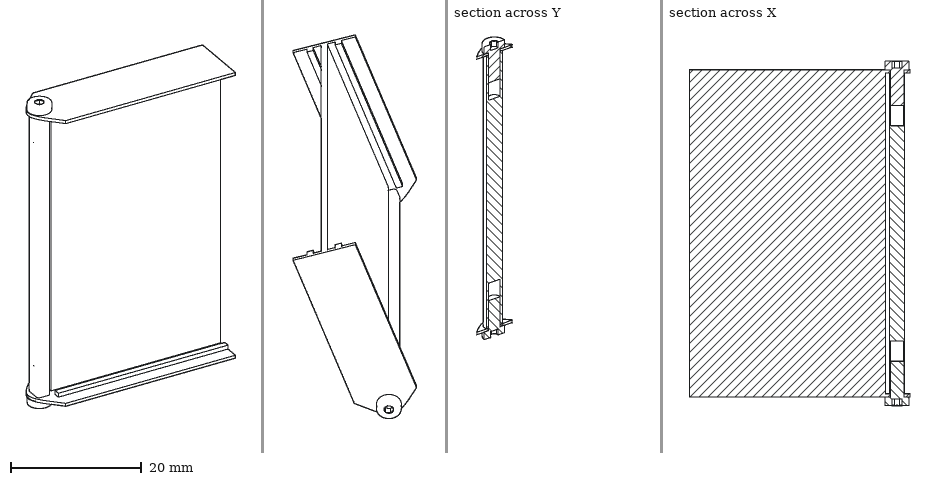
import cadquery as cq
import math

total_height = 52.7
frame_height = 50.0
plate_width = 10.0
plate_length = 33.75
plate_thickness = 0.55
straight_length = 30.0
tip_from_screw = 2.0

web_thickness = 1.0
rail_width = 1.0
rail_height = 0.7
rail_offset = 2.25

rod_width = 3.05
rod_depth = 2.3
rod_corner_radius = 0.55
rod_hole_depth = 8.0

head_diameter = 3.8
head_edge_radius = 0.15
shank_diameter = 2.0
shank_length = 5.5
socket_diameter = 1.5
socket_depth = 1.05
socket_lead_in = 0.1

head_height = (total_height - frame_height) / 2
inner_height = frame_height - 2 * plate_thickness
frame_top = frame_height / 2
inner_top = inner_height / 2
back_edge = plate_length - tip_from_screw
straight_end = back_edge - straight_length


def end_plate(bottom):
    """Plate with straight sides, tapering in one smooth curve to a blunt tip on the center line."""
    half_width = plate_width / 2
    return (
        cq.Workplane("XY", origin=(0, 0, bottom))
        .moveTo(-half_width, straight_end)
        .lineTo(-half_width, back_edge)
        .lineTo(half_width, back_edge)
        .lineTo(half_width, straight_end)
        .spline(
            [(0, -tip_from_screw), (-half_width, straight_end)],
            tangents=[(-1, -1), (-1, 1)],
            includeCurrent=True,
        )
        .close()
        .extrude(plate_thickness)
    )


def lengthwise_bar(center_x, width, bottom, height):
    """Bar as long as the straight part of the plates."""
    return (
        cq.Workplane("XY", origin=(center_x, back_edge - straight_length / 2, bottom))
        .rect(width, straight_length)
        .extrude(height)
    )


def make_frame():
    """Two plates joined by a web, with a pair of guide rails on each plate's inner face."""
    frame = lengthwise_bar(0, web_thickness, -inner_top, inner_height)
    for bottom in (-frame_top, inner_top):
        frame = frame.union(end_plate(bottom))
    for side in (-1, 1):
        for bottom in (-inner_top, inner_top - rail_height):
            frame = frame.union(lengthwise_bar(side * rail_offset, rail_width, bottom, rail_height))
    screw_hole = cq.Workplane("XY", origin=(0, 0, -frame_top)).circle(shank_diameter / 2)
    return frame.cut(screw_hole.extrude(frame_height))


def make_rod():
    """Rounded rectangular rod that fits between the plates, with a blind hole in each end."""
    rod = (
        cq.Workplane("XY", origin=(0, 0, -inner_top))
        .rect(rod_width, rod_depth)
        .extrude(inner_height)
        .edges("|Z")
        .fillet(rod_corner_radius)
    )
    for face in (">Z", "<Z"):
        rod = rod.faces(face).workplane(origin=(0, 0, 0)).hole(shank_diameter, rod_hole_depth)
    return rod


def make_socket():
    """Hexagon with two corners along Y, opened at the mouth by a cone as wide as its corners."""
    top = total_height / 2
    hexagon = (
        cq.Workplane("XY", origin=(0, 0, top))
        .transformed(rotate=(0, 0, 90))
        .polygon(6, socket_diameter)
        .extrude(-socket_depth)
    )
    flat_radius = socket_diameter / 2 * math.cos(math.pi / 6)
    mouth = (
        cq.Workplane("XY", origin=(0, 0, top))
        .circle(socket_diameter / 2)
        .workplane(offset=-socket_lead_in)
        .circle(flat_radius)
        .loft()
    )
    return hexagon.union(mouth)


def make_screw():
    """Upper screw, with its head resting on the top plate."""
    head = (
        cq.Workplane("XY", origin=(0, 0, frame_top))
        .circle(head_diameter / 2)
        .extrude(head_height)
        .faces(">Z")
        .edges()
        .fillet(head_edge_radius)
    )
    shank = (
        cq.Workplane("XY", origin=(0, 0, frame_top))
        .circle(shank_diameter / 2)
        .extrude(-shank_length)
    )
    return head.union(shank).cut(make_socket())


frame = make_frame()
rod = make_rod()
screws = []
for turn in (0, 180):
    screws.append(make_screw().rotate((0, 0, 0), (1, 0, 0), turn))

result = cq.Compound.makeCompound([frame.val(), rod.val(), *[screw.val() for screw in screws]])